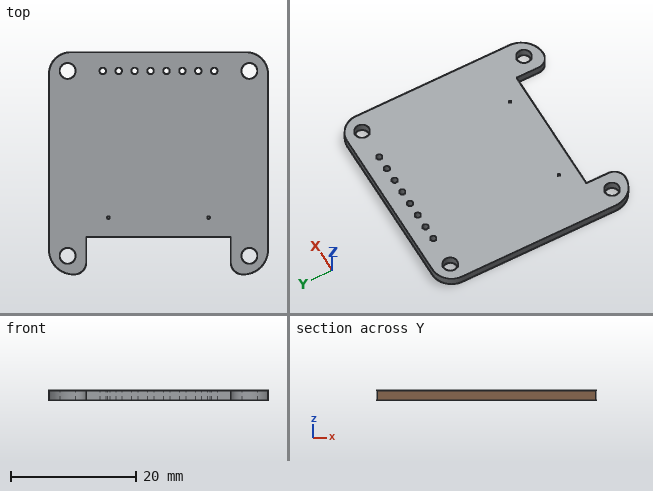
import cadquery as cq

board_width = 35.0
board_depth = 35.5
board_thickness = 1.6
rear_corner_radius = 3.5

tab_width = 6.0
notch_depth = 6.0
tab_outer_radius = 4.0
tab_inner_radius = tab_width - tab_outer_radius

mount_hole_diameter = 2.5
mount_hole_inset = 3.0

pin_hole_diameter = 1.0
pin_count = 8
pin_pitch = 2.54

small_hole_diameter = 0.4
small_hole_spacing = 16.0
small_hole_setback = 3.1

right_x = board_width / 2
rear_y = board_depth / 2
front_y = -rear_y
notch_half_width = right_x - tab_width
notch_rear_y = front_y + notch_depth
mount_hole_x = right_x - mount_hole_inset
mount_hole_y = rear_y - mount_hole_inset


def make_board():
    """Plate with rounded rear corners and two round-ended front tabs."""
    tab_tip_x = right_x - tab_outer_radius
    right_half = (
        cq.Workplane("XY")
        .moveTo(0, notch_rear_y)
        .lineTo(notch_half_width, notch_rear_y)
        .lineTo(notch_half_width, front_y + tab_inner_radius)
        .tangentArcPoint((tab_tip_x, front_y), relative=False)
        .tangentArcPoint((right_x, front_y + tab_outer_radius), relative=False)
        .lineTo(right_x, rear_y - rear_corner_radius)
        .tangentArcPoint((right_x - rear_corner_radius, rear_y), relative=False)
        .lineTo(0, rear_y)
        .close()
        .extrude(board_thickness)
    )
    return right_half.union(right_half.mirror("YZ")).clean()


def drill(board, centres, diameter):
    """Cut a through hole at every centre."""
    drills = cq.Workplane("XY").pushPoints(centres).circle(diameter / 2).extrude(board_thickness)
    return board.cut(drills)


def mount_hole_centres():
    """One centre near each corner of the board."""
    return [(x, y) for x in (-mount_hole_x, mount_hole_x) for y in (-mount_hole_y, mount_hole_y)]


def pin_hole_centres():
    """Evenly pitched row, centred on the board's width."""
    first_x = -(pin_count - 1) * pin_pitch / 2
    return [(first_x + i * pin_pitch, mount_hole_y) for i in range(pin_count)]


def small_hole_centres():
    """A symmetric pair set back from the notch."""
    return [(side * small_hole_spacing / 2, notch_rear_y + small_hole_setback) for side in (-1, 1)]


result = make_board()
result = drill(result, mount_hole_centres(), mount_hole_diameter)
result = drill(result, pin_hole_centres(), pin_hole_diameter)
result = drill(result, small_hole_centres(), small_hole_diameter)